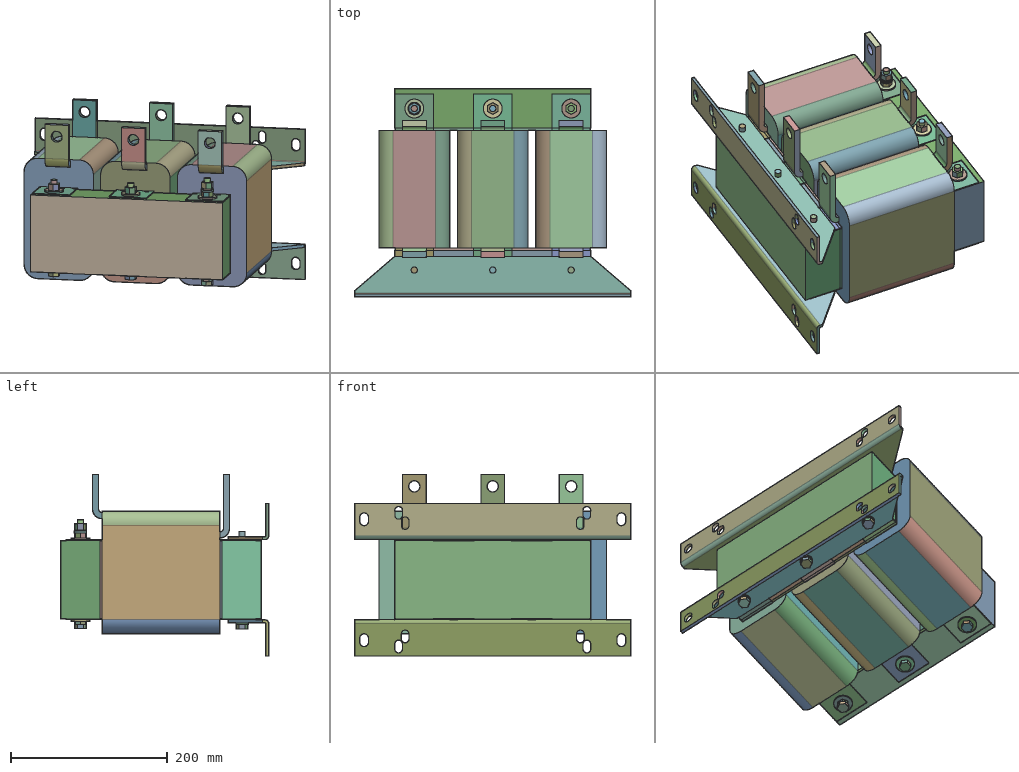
import cadquery as cq
import math


PHASE_PITCH = 100.0
LEG_WIDTH = 50.0
LEG_LENGTH = 150.0
YOKE_DEPTH = 50.0
GAP_THICKNESS = 3.0
GAP_INSET = 0.5
CORE_HEIGHT = 100.0
PHASE_X = [-PHASE_PITCH, 0.0, PHASE_PITCH]
CORE_WIDTH = 2 * PHASE_PITCH + LEG_WIDTH
CORE_TOP = CORE_HEIGHT / 2
YOKE_INNER_Y = LEG_LENGTH / 2 + GAP_THICKNESS
CORE_BACK_Y = YOKE_INNER_Y + YOKE_DEPTH

COIL_WIDTH = 90.5
COIL_BOTTOM = -69.0
COIL_TOP = 87.5
COIL_RADIUS = 18.2
COIL_FACE_Y = LEG_LENGTH / 2

STRIP_THICKNESS = 1.0
STRIP_INSET = 0.5
STRIP_WIDTH = LEG_WIDTH - 2 * STRIP_INSET
STRIP_OVERHANG = 46.0
STRIP_END_Y = COIL_FACE_Y + STRIP_OVERHANG
SEAT_Z = CORE_TOP + STRIP_THICKNESS

TAB_WIDTH = 30.5
TAB_THICKNESS = 8.0
TAB_BEND_RADIUS = 12.5
TAB_TOP = 134.28
TAB_HOLE_DIAMETER = 14.0
TAB_HOLE_DROP = 15.3
REAR_TAB_BEND_Z = 90.2
FRONT_TAB_BEND_Z = 65.7

BRACKET_LENGTH = 352.0
BRACKET_THICKNESS = 4.0
BRACKET_BEND_RADIUS = 5.0
BRACKET_FRONT_Y = -137.5
BRACKET_BACK_Y = -85.7
BRACKET_TAPER_Y = -129.5
BRACKET_EDGE_Z = 97.5
UPRIGHT = 90.0
END_SLOT = {"x": 164.0, "drop": 20.4, "width": 11.0, "length": 16.0}
OUTER_SLOT = {"x": 120.0, "drop": 12.3, "width": 9.5, "length": 16.0}
INNER_SLOT = {"x": 111.7, "drop": 25.3, "width": 9.5, "length": 16.0}

CORNERS_ON_X = 0.0
CORNERS_ON_Y = 90.0
BOLT_DIAMETER = 8.0
HEX_SIDES = 6
HEX_FLATS = 13.0
REAR_BOLT_Y = 102.7
FRONT_BOLT_Y = -103.3
LARGE_WASHER = (24.0, 2.0)
SMALL_WASHER = (16.0, 2.4)
SPRING_WASHER = (15.0, 1.6)
EARTH_NUT_HEIGHT = 6.5
NUT_HEIGHT = 8.0
HEAD_HEIGHT = 5.6
LOWER_NUT_HEIGHT = 3.8
BOLT_END = 5.0
FRONT_BOLT_TOP = 61.5


def block(width, y_start, y_end, z_start, z_end, x=0.0):
    """Box centred on x between the given Y and Z limits."""
    size = (width, y_end - y_start, z_end - z_start)
    middle = (x, (y_start + y_end) / 2, (z_start + z_end) / 2)
    return cq.Workplane("XY").box(*size).translate(middle)


def disc(x, y, z, diameter, height):
    """Upright cylinder standing on z."""
    return cq.Workplane("XY", origin=(x, y, z)).circle(diameter / 2).extrude(height)


def hexagon(x, y, z, height, turn):
    """Upright hexagonal prism standing on z, turned about its own axis."""
    corner_diameter = HEX_FLATS / math.cos(math.pi / HEX_SIDES)
    prism = cq.Workplane("XY").polygon(HEX_SIDES, corner_diameter).extrude(height)
    return prism.rotate((0, 0, 0), (0, 0, 1), turn).translate((x, y, z))


def make_core():
    """Two yokes with their gap sheets and the insulating strips; the legs are part of the coils."""
    core = block(CORE_WIDTH, YOKE_INNER_Y, CORE_BACK_Y, -CORE_TOP, CORE_TOP)
    core = core.union(core.mirror("XZ"))
    sheet_top = CORE_TOP - GAP_INSET
    sheet = block(CORE_WIDTH - 2 * GAP_INSET, COIL_FACE_Y, YOKE_INNER_Y, -sheet_top, sheet_top)
    core = core.union(sheet).union(sheet.mirror("XZ"))
    for x in PHASE_X:
        strip = block(STRIP_WIDTH, -STRIP_END_Y, STRIP_END_Y, CORE_TOP, SEAT_Z, x)
        core = core.union(strip).union(strip.mirror("XY"))
    return core


def make_coil(x):
    """Solid block with rounded long edges, holding one core leg inside it."""
    coil = block(COIL_WIDTH, -COIL_FACE_Y, COIL_FACE_Y, COIL_BOTTOM, COIL_TOP, x)
    return coil.edges("|Y").fillet(COIL_RADIUS)


def make_rear_tab(x, bend_z):
    """Busbar that leaves the rear coil face and bends upwards, bend_z being where it turns vertical."""
    inner_radius = TAB_BEND_RADIUS - TAB_THICKNESS
    mid = math.sqrt(0.5)
    outer_y = COIL_FACE_Y + TAB_BEND_RADIUS
    inner_y = COIL_FACE_Y + inner_radius
    profile = (
        cq.Workplane("YZ", origin=(x, 0, 0))
        .moveTo(COIL_FACE_Y, bend_z - TAB_BEND_RADIUS)
        .threePointArc(
            (COIL_FACE_Y + TAB_BEND_RADIUS * mid, bend_z - TAB_BEND_RADIUS * mid),
            (outer_y, bend_z),
        )
        .lineTo(outer_y, TAB_TOP)
        .lineTo(inner_y, TAB_TOP)
        .lineTo(inner_y, bend_z)
        .threePointArc(
            (COIL_FACE_Y + inner_radius * mid, bend_z - inner_radius * mid),
            (COIL_FACE_Y, bend_z - inner_radius),
        )
        .close()
    )
    tab = profile.extrude(TAB_WIDTH / 2, both=True)
    hole = (
        cq.Workplane("XZ", origin=(x, outer_y, TAB_TOP - TAB_HOLE_DROP))
        .circle(TAB_HOLE_DIAMETER / 2)
        .extrude(TAB_THICKNESS)
    )
    return tab.cut(hole)


def make_front_tab(x, bend_z):
    """Same busbar on the front coil face."""
    return make_rear_tab(x, bend_z).mirror("XZ")


def bracket_slots(slot):
    """Pair of upright slots, one on each side of the bracket."""
    z = BRACKET_EDGE_Z - slot["drop"]
    return (
        cq.Workplane("XZ", origin=(0, BRACKET_FRONT_Y + BRACKET_THICKNESS, z))
        .pushPoints([(-slot["x"], 0), (slot["x"], 0)])
        .slot2D(slot["length"], slot["width"], UPRIGHT)
        .extrude(BRACKET_THICKNESS)
    )


def make_upper_bracket():
    """Angle whose flat leg tapers to the core width and whose upright leg carries the slots."""
    outside = block(BRACKET_LENGTH, BRACKET_FRONT_Y, BRACKET_BACK_Y, SEAT_Z, BRACKET_EDGE_Z)
    outside = outside.edges("|X and <Y and <Z").fillet(BRACKET_BEND_RADIUS)
    inside = block(
        BRACKET_LENGTH,
        BRACKET_FRONT_Y + BRACKET_THICKNESS,
        BRACKET_BACK_Y,
        SEAT_Z + BRACKET_THICKNESS,
        BRACKET_EDGE_Z,
    )
    inside = inside.edges("|X and <Y and <Z").fillet(BRACKET_BEND_RADIUS - BRACKET_THICKNESS)
    plan = (
        cq.Workplane("XY", origin=(0, 0, SEAT_Z))
        .moveTo(-BRACKET_LENGTH / 2, BRACKET_FRONT_Y)
        .lineTo(BRACKET_LENGTH / 2, BRACKET_FRONT_Y)
        .lineTo(BRACKET_LENGTH / 2, BRACKET_TAPER_Y)
        .lineTo(CORE_WIDTH / 2, BRACKET_BACK_Y)
        .lineTo(-CORE_WIDTH / 2, BRACKET_BACK_Y)
        .lineTo(-BRACKET_LENGTH / 2, BRACKET_TAPER_Y)
        .close()
        .extrude(BRACKET_EDGE_Z - SEAT_Z)
    )
    bracket = outside.cut(inside).intersect(plan)
    for slot in (END_SLOT, OUTER_SLOT, INNER_SLOT):
        bracket = bracket.cut(bracket_slots(slot))
    return bracket


def make_front_bolt(x):
    """Bolt through both brackets: plain end above, washer and head below."""
    diameter, thickness = SMALL_WASHER
    washer_z = -SEAT_Z - BRACKET_THICKNESS - thickness
    bolt = disc(x, FRONT_BOLT_Y, washer_z, BOLT_DIAMETER, FRONT_BOLT_TOP - washer_z)
    bolt = bolt.union(disc(x, FRONT_BOLT_Y, washer_z, diameter, thickness))
    return bolt.union(hexagon(x, FRONT_BOLT_Y, washer_z - HEAD_HEIGHT, HEAD_HEIGHT, CORNERS_ON_Y))


def make_rear_bolt(x, is_earth):
    """Bolt through the rear yoke; the earth bolt has extra nuts and washers."""
    y = REAR_BOLT_Y
    diameter, thickness = LARGE_WASHER
    top = SEAT_Z + thickness
    bottom = -top
    bolt = disc(x, y, bottom, diameter, thickness)
    bolt = bolt.union(disc(x, y, SEAT_Z, diameter, thickness))
    if is_earth:
        bolt = bolt.union(hexagon(x, y, top, EARTH_NUT_HEIGHT, CORNERS_ON_X))
        top += EARTH_NUT_HEIGHT
        for diameter, thickness in (SMALL_WASHER, SPRING_WASHER):
            bolt = bolt.union(disc(x, y, top, diameter, thickness))
            top += thickness
        bottom -= LOWER_NUT_HEIGHT
        bolt = bolt.union(hexagon(x, y, bottom, LOWER_NUT_HEIGHT, CORNERS_ON_X))
    bolt = bolt.union(hexagon(x, y, top, NUT_HEIGHT, CORNERS_ON_Y))
    top += NUT_HEIGHT + BOLT_END
    bolt = bolt.union(hexagon(x, y, bottom - HEAD_HEIGHT, HEAD_HEIGHT, CORNERS_ON_Y))
    return bolt.union(disc(x, y, bottom, BOLT_DIAMETER, top - bottom))


result = make_core()
upper_bracket = make_upper_bracket()
result = result.union(upper_bracket).union(upper_bracket.mirror("XY"))
for phase_x in PHASE_X:
    result = result.union(make_coil(phase_x))
    result = result.union(make_rear_tab(phase_x, REAR_TAB_BEND_Z))
    result = result.union(make_front_tab(phase_x, FRONT_TAB_BEND_Z))
    result = result.union(make_front_bolt(phase_x))
    result = result.union(make_rear_bolt(phase_x, phase_x == PHASE_X[0]))